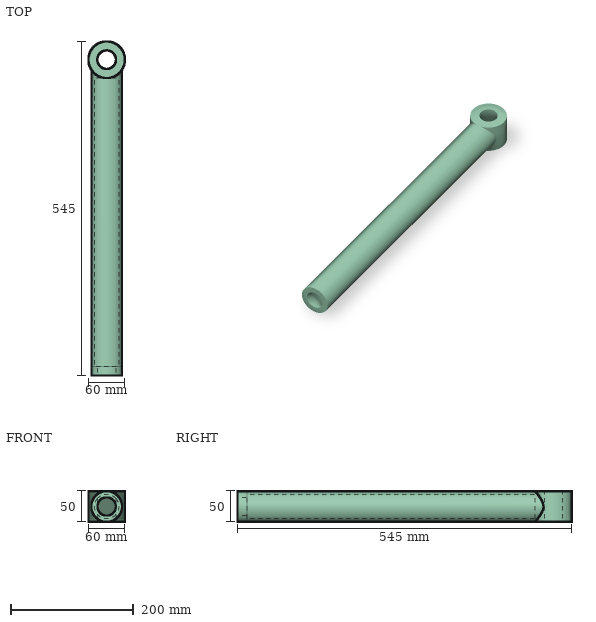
import cadquery as cq

total_length = 545.0
boss_diameter = 60.0
boss_bore = 30.0
tube_diameter = 50.0
tube_bore = 40.0
collar_length = 15.0
collar_bore = 30.0

boss_height = tube_diameter
boss_radius = boss_diameter / 2
tube_end = total_length - boss_radius
collar_start = tube_end - collar_length


def rod(diameter, start, end):
    """Cylinder centred on the tube axis, between two distances from the boss axis."""
    plane = cq.Workplane("XZ", origin=(0, -start, 0))
    return plane.circle(diameter / 2).extrude(end - start)


def upright_cylinder(diameter):
    """Cylinder on the boss axis, as tall as the boss."""
    return cq.Workplane("XY").cylinder(boss_height, diameter / 2)


body = upright_cylinder(boss_diameter).union(rod(tube_diameter, 0, collar_start))

body = body.cut(rod(tube_bore, boss_radius, collar_start))

collar = rod(tube_diameter, collar_start, tube_end)
collar = collar.cut(rod(collar_bore, collar_start, tube_end))
body = body.union(collar, clean=False)

result = body.cut(upright_cylinder(boss_bore), clean=False)